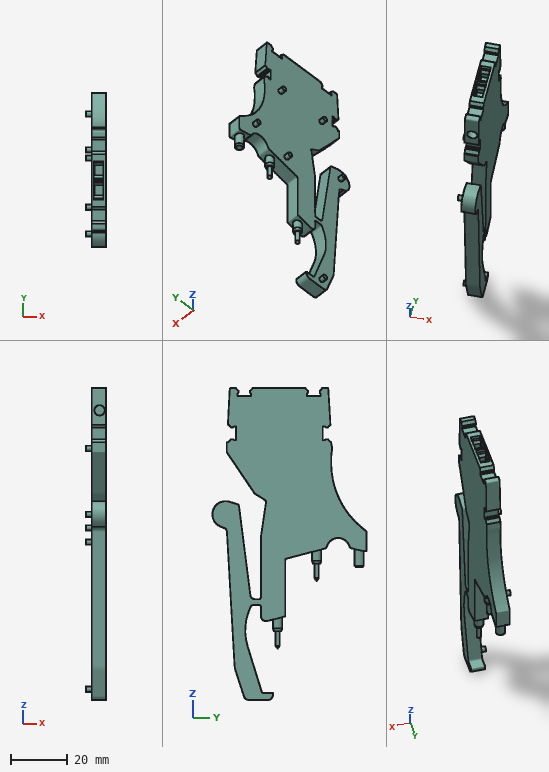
import cadquery as cq
import math


TOTAL_WIDTH = 7.25
PEG_LENGTH = 2.1
PEG_DIAMETER = 2.0
PLATE_THICKNESS = TOTAL_WIDTH - PEG_LENGTH
PLATE_MID_X = PEG_LENGTH + PLATE_THICKNESS / 2

TOTAL_DEPTH = 55.08
TOTAL_HEIGHT = 111.45

NECK_FRONT_Y = 17.3
NECK_BACK_Y = 26.05
BRIDGE_TOP_Z = 36.1
BRIDGE_BOTTOM_Z = 33.9
BRIDGE_OVERLAP = 1.0
BRIDGE_FILLET = 0.6

KNOB_RADIUS = 4.75
KNOB_Y = KNOB_RADIUS
KNOB_Z = 66.3

PEG_POSITIONS = [
    (34.7, 89.8),
    (14.25, 89.8),
    (47.5, 61.5),
    (31.75, 56.4),
    (KNOB_Y, KNOB_Z),
    (14.25, 3.9),
]

FLANK_Y = 42.45
BODY_CORNERS = [
    (6.2, TOTAL_HEIGHT, 0.7),
    (41.4, TOTAL_HEIGHT, 0.5),
    (42.2, 98.0, 0),
    (42.4, 92.2, 0),
    (42.8, 89.8, 0),
    (FLANK_Y, 87.0, 0),
    (FLANK_Y, 70.4, 29.4),
    (TOTAL_DEPTH, 60.2, 0.5),
    (TOTAL_DEPTH, 52.95, 0.5),
    (49.2, 54.25, 1.0),
    (44.8, 63.4, 4.1),
    (40.6, 54.2, 1.0),
    (NECK_BACK_Y, 50.35, 0.6),
    (NECK_BACK_Y, 29.9, 0.3),
    (NECK_FRONT_Y, 27.6, 1.9),
    (NECK_FRONT_Y, 58.3, 6.0),
    (19.2, 71.1, 0.6),
    (15.1, 73.7, 2.0),
    (5.1, 88.5, 0.5),
    (5.1, 92.2, 0),
    (5.5, 98.0, 0),
]

NOTCH_FLOOR_HALF = 2.4
NOTCH_LIP_HALF = 2.05
NOTCH_MOUTH_HALF = 3.1
NOTCH_MOUTH_FLARE = 0.35
NOTCH_CUT_HEIGHT = 4.0
NOTCH_PROFILE = [
    (NOTCH_FLOOR_HALF, 0),
    (NOTCH_FLOOR_HALF, 0.6),
    (NOTCH_LIP_HALF, 1.2),
    (NOTCH_LIP_HALF, 1.7),
    (NOTCH_MOUTH_HALF - NOTCH_MOUTH_FLARE, 2.4),
    (NOTCH_MOUTH_HALF, 2.85),
    (NOTCH_MOUTH_HALF, NOTCH_CUT_HEIGHT),
]
NOTCHES = [
    (36.2, 108.6, 90),
    (11.4, 108.6, 90),
    (39.45, 95.2, 0),
    (8.45, 95.2, 180),
]

LEVER_CORNERS = [
    (NECK_FRONT_Y + BRIDGE_OVERLAP, BRIDGE_TOP_Z, 0),
    (13.8, BRIDGE_TOP_Z, 1.5),
    (9.5, 69.8, 1.0),
    (5.9, 70.9, 0),
    (KNOB_Y, KNOB_Z, 0),
    (3.1, 61.8, 0),
    (5.12, 61.1, 1.5),
    (7.95, 11.5, 8.0),
    (11.7, 0, 2.2),
    (21.7, 0, 2.0),
    (21.7, 2.6, 0.2),
    (17.8, 2.6, 0.8),
    (10.46, 26.26, 19.5),
    (14.0, BRIDGE_BOTTOM_Z, 1.0),
    (NECK_FRONT_Y + BRIDGE_OVERLAP, BRIDGE_BOTTOM_Z, 0),
]

CONTACT_X = 4.9

NEEDLE_PINS = [(37.22, 49.7), (23.3, 25.6)]
COLLAR_DIAMETER = 3.4
COLLAR_NECK_DIAMETER = 2.6
COLLAR_TAPER = 1.0
NEEDLE_DIAMETER = 1.65
NEEDLE_LENGTH = 5.1
NEEDLE_TIP = 1.1
PIN_ROOT = 6.0

POST_DIAMETER = 3.4
POST_Y = 52.4
POST_BOTTOM_Z = 47.4
POST_CHAMFER = 0.6
POST_LENGTH = 7.5

POCKET_MIN_X = 2.8
POCKET_WIDTH = 3.35
POCKET_LENGTH = 6.55
POCKET_RIM_CHAMFER = 0.55
POCKET_WALL_HEIGHT = 1.0
POCKET_RAMP = 0.95
WELL_DEPTH = 2.0
WELL_INSET_X = 0.3
POCKET_CENTERS_Y = [27.4, 20.25]

HOLE_DIAMETER = 3.7
HOLE_Z = 103.4
HOLE_BOTTOM_Y = 14.0


def toward(start, end, distance):
    """Point at a distance from start on the way to end."""
    ratio = distance / math.dist(start, end)
    return (start[0] + (end[0] - start[0]) * ratio, start[1] + (end[1] - start[1]) * ratio)


def corner_arc(before, corner, after, radius):
    """Start, middle and end of the arc that rounds a corner."""
    angle_before = math.atan2(before[1] - corner[1], before[0] - corner[0])
    angle_after = math.atan2(after[1] - corner[1], after[0] - corner[0])
    half_angle = abs(math.remainder(angle_after - angle_before, 2 * math.pi)) / 2
    setback = radius / math.tan(half_angle)
    start = toward(corner, before, setback)
    end = toward(corner, after, setback)
    chord_middle = ((start[0] + end[0]) / 2, (start[1] + end[1]) / 2)
    middle = toward(corner, chord_middle, radius / math.sin(half_angle) - radius)
    return start, middle, end


def rounded_plate(corners):
    """Plate with the outline of a polygon; its last corner is sharp, others may be rounded."""
    points = [(y, z) for y, z, _ in corners]
    outline = cq.Workplane("YZ", origin=(PEG_LENGTH, 0, 0)).moveTo(*points[-1])
    for index, (y, z, radius) in enumerate(corners[:-1]):
        if radius == 0:
            outline = outline.lineTo(y, z)
        else:
            start, middle, end = corner_arc(points[index - 1], (y, z), points[index + 1], radius)
            outline = outline.lineTo(*start).threePointArc(middle, end)
    return outline.close().extrude(PLATE_THICKNESS)


def clip_notch(y, z, direction):
    """Cutter for a notch with a snap lip on both sides of its mouth."""
    other_side = [(-half_width, height) for half_width, height in reversed(NOTCH_PROFILE)]
    return (
        cq.Workplane("YZ")
        .polyline(NOTCH_PROFILE + other_side)
        .close()
        .extrude(TOTAL_WIDTH)
        .rotate((0, 0, 0), (1, 0, 0), direction - 90)
        .translate((0, y, z))
    )


def body():
    plate = rounded_plate(BODY_CORNERS)
    for y, z, direction in NOTCHES:
        plate = plate.cut(clip_notch(y, z, direction))
    return plate


def lever():
    knob = (
        cq.Workplane("YZ", origin=(PEG_LENGTH, KNOB_Y, KNOB_Z))
        .circle(KNOB_RADIUS)
        .extrude(PLATE_THICKNESS)
    )
    return rounded_plate(LEVER_CORNERS).union(knob)


def plate_with_lever():
    """Body and lever, with fillets where the bridge meets the neck."""
    joined = body().union(lever())
    for z in (BRIDGE_BOTTOM_Z, BRIDGE_TOP_Z):
        joint = cq.selectors.NearestToPointSelector((PLATE_MID_X, NECK_FRONT_Y, z))
        joined = joined.edges("|X").edges(joint).fillet(BRIDGE_FILLET)
    return joined


def pegs():
    return (
        cq.Workplane("YZ")
        .pushPoints(PEG_POSITIONS)
        .circle(PEG_DIAMETER / 2)
        .extrude(PEG_LENGTH + PLATE_THICKNESS / 2)
    )


def turned_pin(y, profile):
    """Vertical turned pin from a half profile of (radius, Z) that ends on the pin axis."""
    top_z = profile[0][1]
    return (
        cq.Workplane("XZ")
        .polyline([(0, top_z)] + profile)
        .close()
        .revolve(360, (0, 0, 0), (0, 1, 0))
        .translate((CONTACT_X, y, 0))
    )


def needle_pin(y, collar_z):
    needle_top = collar_z - COLLAR_TAPER
    needle_bottom = needle_top - NEEDLE_LENGTH
    return turned_pin(y, [
        (COLLAR_DIAMETER / 2, collar_z + PIN_ROOT),
        (COLLAR_DIAMETER / 2, collar_z),
        (COLLAR_NECK_DIAMETER / 2, needle_top),
        (NEEDLE_DIAMETER / 2, needle_top),
        (NEEDLE_DIAMETER / 2, needle_bottom),
        (0, needle_bottom - NEEDLE_TIP),
    ])


def post():
    radius = POST_DIAMETER / 2
    return turned_pin(POST_Y, [
        (radius, POST_BOTTOM_Z + POST_LENGTH),
        (radius, POST_BOTTOM_Z + POST_CHAMFER),
        (radius - POST_CHAMFER, POST_BOTTOM_Z),
        (0, POST_BOTTOM_Z),
    ])


def stepped_pocket(y):
    """Cutter for a pocket whose end walls step inward to a narrow well."""
    half_rim = POCKET_LENGTH / 2
    half_wall = half_rim - POCKET_RIM_CHAMFER
    half_well = half_wall - POCKET_RAMP
    wall_top_z = TOTAL_HEIGHT - POCKET_RIM_CHAMFER
    ramp_top_z = wall_top_z - POCKET_WALL_HEIGHT
    well_top_z = ramp_top_z - POCKET_RAMP
    back_half = [
        (half_rim, TOTAL_HEIGHT),
        (half_wall, wall_top_z),
        (half_wall, ramp_top_z),
        (half_well, well_top_z),
    ]
    front_half = [(-distance, z) for distance, z in reversed(back_half)]
    funnel = (
        cq.Workplane("YZ", origin=(POCKET_MIN_X, y, 0))
        .polyline(back_half + front_half)
        .close()
        .extrude(POCKET_WIDTH)
    )
    well = cq.Workplane("XY").box(
        POCKET_WIDTH - WELL_INSET_X, 2 * half_well, WELL_DEPTH, centered=(False, True, False)
    )
    return funnel.union(well.translate((POCKET_MIN_X + WELL_INSET_X, y, well_top_z - WELL_DEPTH)))


def front_hole():
    return (
        cq.Workplane("XZ", origin=(CONTACT_X, HOLE_BOTTOM_Y, HOLE_Z))
        .circle(HOLE_DIAMETER / 2)
        .extrude(HOLE_BOTTOM_Y)
    )


result = plate_with_lever().union(pegs()).union(post())
for pin_y, pin_z in NEEDLE_PINS:
    result = result.union(needle_pin(pin_y, pin_z))
for pocket_y in POCKET_CENTERS_Y:
    result = result.cut(stepped_pocket(pocket_y))
result = result.cut(front_hole())